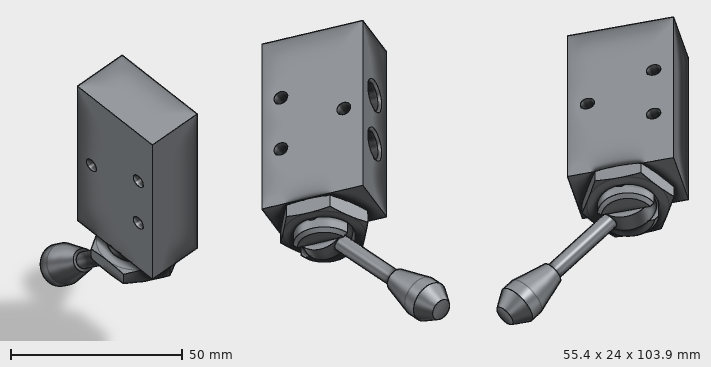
import cadquery as cq
import math


block_length = 32.0
block_width = 18.0
block_height = 58.0

mount_hole_diameter = 4.3
mount_hole_offset = 10.0
mount_hole_pitch = 18.0
hole_group_height = 28.6

port_diameter = 8.6
port_mouth_diameter = 10.3
port_depth = 10.4
port_pitch = 17.0

neck_diameter = block_width
neck_length = 12.1
neck_chamfer = 1.1
slot_width = 5.6
slot_top = -0.4

nut_across_flats = 24.0
nut_thickness = 5.0
nut_top = -2.4
nut_corner_drop = 0.5

pivot_height = -6.5
pivot_hole_diameter = 3.0
hub_radius = 7.9
lever_angle = 45.0
rod_diameter = 5.0
knob_diameter = 12.5
knob_neck_diameter = 7.0
knob_tip_diameter = 6.5
knob_start = 32.3
knob_band_start = 43.3
knob_band_end = 47.3
lever_length = 52.43


def cylinder_along_y(diameter, length, x, z):
    """Cylinder parallel to Y and centred on Y = 0."""
    return (
        cq.Workplane("XZ", origin=(x, 0, z))
        .circle(diameter / 2)
        .extrude(length / 2, both=True)
    )


def make_port(height):
    """Blind port bore with a 45 degree countersunk mouth, as a cutting tool."""
    radius = port_diameter / 2
    mouth_radius = port_mouth_diameter / 2
    mouth_depth = mouth_radius - radius
    return (
        cq.Workplane("XY")
        .polyline([
            (0, 0),
            (0, mouth_radius),
            (mouth_depth, radius),
            (port_depth, radius),
            (port_depth, 0),
        ])
        .close()
        .revolve(360, (0, 0, 0), (1, 0, 0))
        .translate((-block_length / 2, 0, height))
    )


def make_slot():
    """Space for the lever hub, open at the sides and the lower end of the neck."""
    return (
        cq.Workplane("XY", origin=(0, 0, slot_top))
        .rect(neck_diameter, slot_width)
        .extrude(-neck_length)
    )


def make_housing():
    """Valve block and slotted neck, with mounting holes, ports and pivot hole."""
    block = cq.Workplane("XY").box(
        block_length, block_width, block_height, centered=(True, True, False)
    )
    neck = (
        cq.Workplane("XY")
        .circle(neck_diameter / 2)
        .extrude(-neck_length)
        .faces("<Z")
        .chamfer(neck_chamfer)
    )
    housing = block.union(neck).cut(make_slot())

    mount_hole_places = [
        (-mount_hole_offset, hole_group_height),
        (mount_hole_offset, hole_group_height - mount_hole_pitch / 2),
        (mount_hole_offset, hole_group_height + mount_hole_pitch / 2),
    ]
    for x, z in mount_hole_places:
        housing = housing.cut(cylinder_along_y(mount_hole_diameter, block_width, x, z))

    for side in (-1, 1):
        housing = housing.cut(make_port(hole_group_height + side * port_pitch / 2))

    return housing.cut(cylinder_along_y(pivot_hole_diameter, neck_diameter, 0, pivot_height))


def make_nut():
    """Hexagonal nut with flats facing Y and corners bevelled on both ends."""
    corner_radius = nut_across_flats / math.sqrt(3)
    flat_radius = nut_across_flats / 2
    hexagon = cq.Workplane("XY").polygon(6, 2 * corner_radius).extrude(-nut_thickness)
    bevel_envelope = (
        cq.Workplane("XZ")
        .polyline([
            (0, 0),
            (flat_radius, 0),
            (corner_radius, -nut_corner_drop),
            (corner_radius, nut_corner_drop - nut_thickness),
            (flat_radius, -nut_thickness),
            (0, -nut_thickness),
        ])
        .close()
        .revolve(360, (0, 0, 0), (0, 1, 0))
    )
    bore = cq.Workplane("XY").circle(neck_diameter / 2).extrude(-nut_thickness)
    return hexagon.intersect(bevel_envelope).cut(bore).translate((0, 0, nut_top))


def make_lever():
    """Hub disc filling the slot, with a tilted rod and knob."""
    rod_and_knob = (
        cq.Workplane("XZ")
        .polyline([
            (0, 0),
            (rod_diameter / 2, 0),
            (rod_diameter / 2, -knob_start),
            (knob_neck_diameter / 2, -knob_start),
            (knob_diameter / 2, -knob_band_start),
            (knob_diameter / 2, -knob_band_end),
            (knob_tip_diameter / 2, -lever_length),
            (0, -lever_length),
        ])
        .close()
        .revolve(360, (0, 0, 0), (0, 1, 0))
        .rotate((0, 0, 0), (0, 1, 0), lever_angle)
        .translate((0, 0, pivot_height))
    )
    hub = cylinder_along_y(2 * hub_radius, slot_width, 0, pivot_height)
    above_slot = (
        cq.Workplane("XY", origin=(0, 0, slot_top))
        .rect(2 * hub_radius, slot_width)
        .extrude(hub_radius)
    )
    pivot_hole = cylinder_along_y(pivot_hole_diameter, slot_width, 0, pivot_height)
    return hub.cut(above_slot).union(rod_and_knob).cut(pivot_hole)


housing = make_housing()
nut = make_nut()
lever = make_lever()

result = cq.Compound.makeCompound([
    housing.solids().val(),
    nut.solids().val(),
    lever.solids().val(),
])